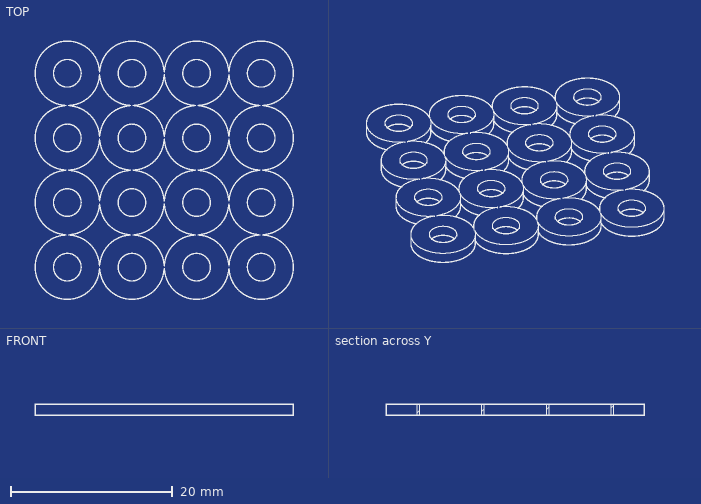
import cadquery as cq

overall_size = 31.98
thickness = 1.4
rings_per_side = 4
hole_diameter = 3.4
ring_overlap = 0.005

ring_diameter = (overall_size + (rings_per_side - 1) * ring_overlap) / rings_per_side
pitch = ring_diameter - ring_overlap


def ring_centres():
    """Centres of a square grid of rings about the origin."""
    first = -pitch * (rings_per_side - 1) / 2
    steps = [first + i * pitch for i in range(rings_per_side)]
    return [(x, y) for x in steps for y in steps]


def cylinder(centre, diameter):
    """Upright cylinder of the sheet thickness, standing on Z = 0."""
    return cq.Workplane("XY").center(*centre).circle(diameter / 2).extrude(thickness)


sheet = cq.Workplane("XY")
for centre in ring_centres():
    sheet = sheet.union(cylinder(centre, ring_diameter))

for centre in ring_centres():
    sheet = sheet.cut(cylinder(centre, hole_diameter))

result = sheet